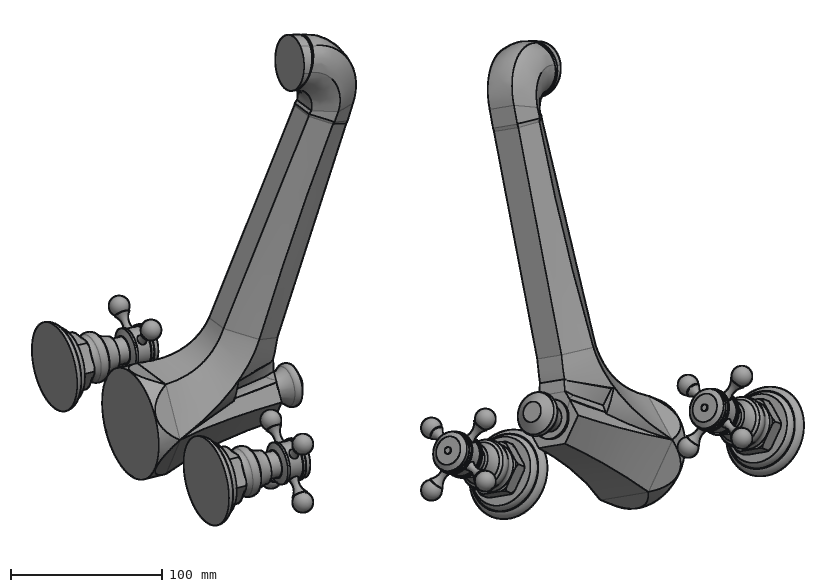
import math

import cadquery as cq


base_radius = 38.0
base_depth = 16.0
base_flare = 6.0
body_back = 103.3
body_back_radius = 20.7
body_mid_y = 50.5
body_mid_radius = base_radius - base_flare * (body_mid_y - base_depth) / base_depth

flat_half = 9.5
arm_foot_inner = (65.3, 58.3)
arm_foot_outer = (106.5, 42.3)
arm_foot_half_width = 21.3
arm_head_inner = (130.0, 198.3)
arm_head_outer = (158.7, 186.0)
arm_head_half_width = 17.0
arm_control_half_width = 15.2

elbow_inner_control = (52.5, 31.2)
elbow_inner_flat_half = 12.3
elbow_side_control = (71.5, 17.5)
elbow_side_half_width = 24.8
elbow_outer_controls = [(105.0, 0), (101.8, 20.5)]
elbow_outer_start = (base_depth, -14.5)
elbow_outer_start_half = 14.5

saddle_back_profile = [(9.5, 26.3), (10.2, 17.2), (14.0, 12.0), (10.2, 0)]
saddle_front_profile = [(24.0, 26.0), (17.2, 15.2), (19.0, 10.2), (11.7, 0)]
saddle_front_y = 67.7
saddle_seat = 25.7

collar_half_width = 17.8
collar_inner = (130.5, 199.8)
collar_outer = (159.8, 188.0)
head_foot_inner = (132.0, 201.8)
head_foot_outer = (164.0, 200.0)
head_mid_inner = (129.8, 213.8)
head_mid_outer = (156.5, 237.5)
head_end_inner = (121.0, 220.0)
head_end_outer = (132.7, 249.0)
head_end_radius = 17.8
head_sections = 5

tip_radius = 18.7
tip_centre = (121.0, 235.5)
tip_tilt = 80.7
tip_step = 1.2

washer_radius = 13.5
washer_thickness = 1.8
knob_neck_radius = 8.8
knob_waist = (10.0, 111.0)
knob_shoulder = (13.5, 117.3)
knob_crown = (15.0, 120.2)
knob_rim = (14.3, 122.8)
knob_face_radius = 7.0
knob_end_y = 127.2

handle_spacing = 202.5
flange_radius = 30.3
flange_lower_top = 5.3
flange_upper_radius = 26.0
flange_lower_top_radius = 26.5
flange_top_radius = 23.3
flange_top = 10.0
nut_radius = 19.5
nut_top = 20.0
nut_bevel = 1.2
bell_foot_radius = 16.3
bell_waist = (15.5, 23.0)
bell_bead_low = (16.3, 26.0)
bell_bead_mid = (17.2, 29.0)
bell_bead_high = (16.3, 32.5)
bell_shoulder = (14.3, 33.8)
bell_hollow = (12.3, 38.8)
bell_top = (11.5, 43.2)
stem_radius = 9.0
hub_bottom = 52.2
hub_bottom_radius = 9.5
hub_rim_radius = 14.3
hub_rim_low = 54.0
hub_rim_thickness = 1.8
hub_barrel_radius = 13.0
hub_barrel_length = 10.2
hub_groove_radius = 12.5
cap_radius = 13.5
cap_bottom = 68.5
cap_edge = 71.5
cap_top = 73.5
cap_top_radius = 9.5
button_radius = 2.3
button_top = 74.5
arm_count = 4
arm_y = 61.3
arm_first_angle = 45.0
arm_root = 11.0
arm_root_radius = 4.5
arm_waist = 19.3
arm_waist_radius = 2.5
arm_neck_end = 24.5
arm_neck_end_radius = 5.3
ball_radius = 7.0
ball_distance = 30.0


def blend(first, second, share):
    """Point that lies the given share of the way from first to second."""
    return tuple(a + (b - a) * share for a, b in zip(first, second))


def section_points(inner, outer, side_half_width, flat=flat_half):
    """Six corners of a spout section, mirrored about the plane X = 0."""
    side = blend(inner, outer, 0.5)
    right = [(flat, *outer), (side_half_width, *side), (flat, *inner)]
    left = [(-x, y, z) for x, y, z in reversed(right)]
    return [cq.Vector(*point) for point in right + left]


def polygon_wire(points):
    return cq.Wire.makePolygon(points, close=True)


def bulged_wire(points, radius, share):
    """Section outline whose edges bulge by a share of the bulge of a circle of that radius."""
    centre = sum(points, cq.Vector()) * (1 / len(points))
    edges = []
    for start, end in zip(points, points[1:] + points[:1]):
        middle = (start + end) * 0.5
        half_chord = (end - start).Length / 2
        bulge = share * (radius - math.sqrt(radius**2 - half_chord**2))
        crown = middle + (middle - centre).normalized() * bulge
        edges.append(cq.Edge.makeThreePointArc(start, crown, end))
    return cq.Wire.assembleEdges(edges)


def regular_hexagon(radius, y):
    """Corners in the same order as section_points, with the outer flat facing down."""
    flat_height = radius * math.sqrt(3) / 2
    return section_points((y, flat_height), (y, -flat_height), radius, radius / 2)


def solid_between_edge_curves(curves):
    """Solid with ruled sides between neighbouring edge curves and flat polygons at both ends."""
    faces = [cq.Face.makeRuledSurface(a, b) for a, b in zip(curves, curves[1:] + curves[:1])]
    for end in (0, 1):
        corners = [curve.positionAt(end) for curve in curves]
        faces.append(cq.Face.makeFromWires(polygon_wire(corners)))
    return cq.Solid.makeSolid(cq.Shell.makeShell(faces)).fix()


def make_base():
    """Flaring hexagonal block trimmed by a cylinder, which leaves the scalloped flats."""
    block = cq.Solid.makeLoft(
        [
            polygon_wire(regular_hexagon(base_radius + base_flare, 0)),
            polygon_wire(regular_hexagon(base_radius, base_depth)),
        ],
        True,
    )
    cylinder = cq.Solid.makeCylinder(base_radius, base_depth, cq.Vector(), cq.Vector(0, 1, 0))
    return block.intersect(cylinder)


def make_body():
    """Hexagonal valve body that narrows in a concave curve away from the wall."""
    corner_rows = zip(
        regular_hexagon(base_radius, base_depth),
        regular_hexagon(body_mid_radius, body_mid_y),
        regular_hexagon(body_back_radius, body_back),
    )
    return solid_between_edge_curves([cq.Edge.makeBezier(list(row)) for row in corner_rows])


def make_elbow():
    """Curved hexagonal transition from the base up into the arm, cut away over the saddle."""
    base = regular_hexagon(base_radius, base_depth)
    foot = section_points(arm_foot_inner, arm_foot_outer, arm_foot_half_width)
    outer_corners = (0, 5)
    side_corners = (1, 4)
    curves = []
    for index, (start, end) in enumerate(zip(base, foot)):
        sign = math.copysign(1, start.x)
        if index in outer_corners:
            start = cq.Vector(sign * elbow_outer_start_half, *elbow_outer_start)
            controls = [cq.Vector(sign * flat_half, *place) for place in elbow_outer_controls]
        elif index in side_corners:
            controls = [cq.Vector(sign * elbow_side_half_width, *elbow_side_control)]
        else:
            controls = [cq.Vector(sign * elbow_inner_flat_half, *elbow_inner_control)]
        curves.append(cq.Edge.makeBezier([start, *controls, end]))
    saddle_room = cq.Solid.makeBox(
        2 * base_radius,
        body_back,
        2 * base_radius,
        cq.Vector(-base_radius, saddle_front_y, saddle_seat - 2 * base_radius),
    )
    return solid_between_edge_curves(curves).cut(saddle_room)


def make_saddle():
    """Ruled block that fills the hollow between the elbow and the top of the body."""
    outlines = []
    for profile, y in ((saddle_front_profile, saddle_front_y), (saddle_back_profile, body_back)):
        right = [cq.Vector(x, y, z) for x, z in profile]
        left = [cq.Vector(-x, y, z) for x, z in reversed(profile)]
        outlines.append(polygon_wire(right + left))
    return cq.Solid.makeLoft(outlines, True)


def make_arm():
    """Long tapering hexagonal arm."""
    middle_inner = blend(arm_foot_inner, arm_head_inner, 0.5)
    middle_outer = blend(arm_foot_outer, arm_head_outer, 0.5)
    corner_rows = zip(
        section_points(arm_foot_inner, arm_foot_outer, arm_foot_half_width),
        section_points(middle_inner, middle_outer, arm_control_half_width),
        section_points(arm_head_inner, arm_head_outer, arm_head_half_width),
    )
    return solid_between_edge_curves([cq.Edge.makeBezier(list(row)) for row in corner_rows])


def make_collar():
    """Short, slightly wider hexagonal collar on top of the arm."""
    head = polygon_wire(section_points(arm_head_inner, arm_head_outer, arm_head_half_width))
    collar = polygon_wire(section_points(collar_inner, collar_outer, collar_half_width))
    bend = polygon_wire(section_points(head_foot_inner, head_foot_outer, collar_half_width))
    return cq.Solid.makeLoft([head, collar, bend], True)


def make_head():
    """Bent head that changes from a hexagon into a circle."""
    inner_path = cq.Edge.makeThreePointArc(
        *[cq.Vector(0, *place) for place in (head_foot_inner, head_mid_inner, head_end_inner)]
    )
    outer_path = cq.Edge.makeThreePointArc(
        *[cq.Vector(0, *place) for place in (head_foot_outer, head_mid_outer, head_end_outer)]
    )
    sections = [polygon_wire(section_points(head_foot_inner, head_foot_outer, collar_half_width))]
    for number in range(1, head_sections):
        share = number / (head_sections - 1)
        inner = inner_path.positionAt(share).toTuple()[1:]
        outer = outer_path.positionAt(share).toTuple()[1:]
        points = section_points(inner, outer, collar_half_width)
        sections.append(bulged_wire(points, head_end_radius, share))
    return cq.Solid.makeLoft(sections)


def circle_section(centre, radius, tilt):
    """Circular outline split at the same six corners as the hexagonal sections."""
    rise = math.sqrt(radius**2 - flat_half**2)
    reach = (rise * math.cos(math.radians(tilt)), rise * math.sin(math.radians(tilt)))
    outer = (centre[0] + reach[0], centre[1] + reach[1])
    inner = (centre[0] - reach[0], centre[1] - reach[1])
    return bulged_wire(section_points(inner, outer, radius), radius, 1)


def make_tip():
    """Round wedge from the end of the head to the tilted spout face."""
    head_centre = blend(head_end_inner, head_end_outer, 0.5)
    head_tilt = math.degrees(
        math.atan2(head_end_outer[1] - head_end_inner[1], head_end_outer[0] - head_end_inner[0])
    )
    share = tip_step / math.dist(head_centre, tip_centre)
    step_centre = blend(head_centre, tip_centre, share)
    step_tilt = head_tilt + (tip_tilt - head_tilt) * share
    return cq.Solid.makeLoft(
        [
            circle_section(head_centre, head_end_radius, head_tilt),
            circle_section(step_centre, tip_radius, step_tilt),
            circle_section(tip_centre, tip_radius, tip_tilt),
        ],
        True,
    )


def make_spout():
    parts = [make_body(), make_elbow(), make_saddle(), make_arm(), make_collar(), make_head(), make_tip()]
    return make_base().fuse(*parts)


def make_knob():
    """Turned knob with its washer, seated on the back of the valve body."""
    washer_top = body_back + washer_thickness
    return (
        cq.Workplane("XY")
        .moveTo(0, body_back)
        .lineTo(washer_radius, body_back)
        .lineTo(washer_radius, washer_top)
        .lineTo(knob_neck_radius, washer_top)
        .threePointArc(knob_waist, knob_shoulder)
        .threePointArc(knob_crown, knob_rim)
        .lineTo(knob_face_radius, knob_end_y)
        .lineTo(0, knob_end_y)
        .close()
        .revolve(360, (0, 0), (0, 1))
        .val()
    )


def convex_crown(foot, top):
    """Middle point of the arc that leaves foot parallel to the axis and curves inwards to top."""
    run = foot[0] - top[0]
    rise = top[1] - foot[1]
    radius = (run**2 + rise**2) / (2 * run)
    half_turn = math.atan2(rise, radius - run) / 2
    return (foot[0] - radius * (1 - math.cos(half_turn)), foot[1] + radius * math.sin(half_turn))


def make_flange():
    """Two-tiered round wall plate with convex edges."""
    lower_foot = (flange_radius, 0)
    lower_top = (flange_lower_top_radius, flange_lower_top)
    upper_foot = (flange_upper_radius, flange_lower_top)
    upper_top = (flange_top_radius, flange_top)
    return (
        cq.Workplane("XY")
        .lineTo(*lower_foot)
        .threePointArc(convex_crown(lower_foot, lower_top), lower_top)
        .lineTo(*upper_foot)
        .threePointArc(convex_crown(upper_foot, upper_top), upper_top)
        .lineTo(0, flange_top)
        .close()
        .revolve(360, (0, 0), (0, 1))
    )


def make_nut():
    """Hexagonal nut whose corners are bevelled at both ends."""
    height = nut_top - flange_top
    prism = cq.Workplane("XZ").workplane(offset=-nut_top).polygon(6, 2 * nut_radius).extrude(height)
    blank = (
        cq.Workplane("XZ")
        .workplane(offset=-nut_top)
        .circle(nut_radius)
        .extrude(height)
        .edges()
        .chamfer(nut_bevel)
    )
    return prism.intersect(blank)


def make_stem_and_hub():
    """Turned bell, stem, hub and cap above the nut."""
    hub_barrel_low = hub_rim_low + hub_rim_thickness
    hub_barrel_high = hub_barrel_low + hub_barrel_length
    hub_top = hub_barrel_high + hub_rim_thickness
    return (
        cq.Workplane("XY")
        .moveTo(0, nut_top)
        .lineTo(bell_foot_radius, nut_top)
        .threePointArc(bell_waist, bell_bead_low)
        .threePointArc(bell_bead_mid, bell_bead_high)
        .lineTo(*bell_shoulder)
        .threePointArc(bell_hollow, bell_top)
        .lineTo(stem_radius, bell_top[1])
        .lineTo(stem_radius, hub_bottom)
        .lineTo(hub_bottom_radius, hub_bottom)
        .lineTo(hub_rim_radius, hub_rim_low)
        .lineTo(hub_rim_radius, hub_barrel_low)
        .lineTo(hub_barrel_radius, hub_barrel_low)
        .lineTo(hub_barrel_radius, hub_barrel_high)
        .lineTo(hub_rim_radius, hub_barrel_high)
        .lineTo(hub_rim_radius, hub_top)
        .lineTo(hub_groove_radius, hub_top)
        .lineTo(hub_groove_radius, cap_bottom)
        .lineTo(cap_radius, cap_bottom)
        .lineTo(cap_radius, cap_edge)
        .lineTo(cap_top_radius, cap_top)
        .lineTo(button_radius, cap_top)
        .lineTo(button_radius, button_top)
        .lineTo(0, button_top)
        .close()
        .revolve(360, (0, 0), (0, 1))
    )


def make_handle_arm(angle):
    """Waisted arm that ends in a ball, turned about the handle axis by the angle."""
    neck = (
        cq.Workplane("XY")
        .moveTo(arm_root, 0)
        .lineTo(arm_root, arm_root_radius)
        .threePointArc((arm_waist, arm_waist_radius), (arm_neck_end, arm_neck_end_radius))
        .lineTo(arm_neck_end, 0)
        .close()
        .revolve(360, (0, 0), (1, 0))
    )
    ball = cq.Workplane("XY").sphere(ball_radius).translate((ball_distance, 0, 0))
    return neck.union(ball).rotate((0, 0, 0), (0, 1, 0), angle).translate((0, arm_y, 0))


def make_handle(x):
    handle = make_flange().union(make_nut()).union(make_stem_and_hub())
    for number in range(arm_count):
        handle = handle.union(make_handle_arm(arm_first_angle + number * 360 / arm_count))
    return handle.translate((x, 0, 0)).solids().val()


spout = make_spout()
knob = make_knob()
handles = [make_handle(side * handle_spacing / 2) for side in (-1, 1)]

result = cq.Compound.makeCompound([*spout.Solids(), knob, *handles])